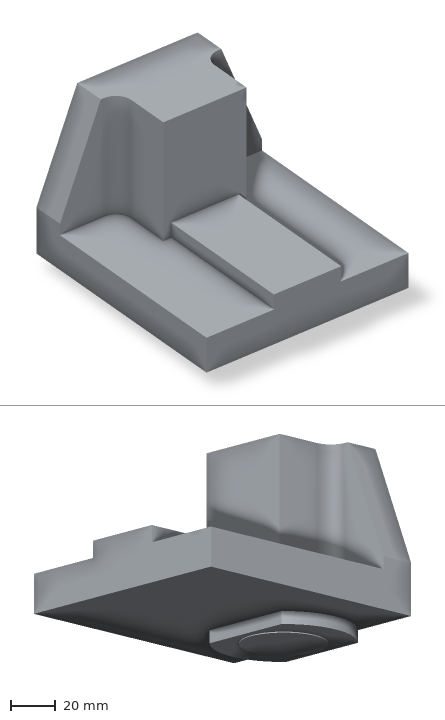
import cadquery as cq

base_length = 124.0
base_width = 114.0
base_thickness = 18.5

rail_width = 38.0
rail_top = 26.5

wall_thickness = 17.2
wall_height = 81.5
wall_top_width = 68.0
wall_shoulder_height = 24.5

column_front = 49.2
column_width = 47.0
column_fillet = 8.7

pad_diameter = 66.2
pad_across_flats = 47.2
pad_thickness = 6.0
pad_center_x = 24.1

boss_diameter = 40.01
boss_thickness = 0.5


def block_on_base(length, width, height):
    """Block from the back face forward, centred on Y and standing on Z = 0."""
    return cq.Workplane("XY").box(length, width, height, centered=(False, True, False))


def make_wall():
    """Back wall with vertical lower sides and sloping shoulders."""
    half_width = base_width / 2
    half_top = wall_top_width / 2
    outline = [
        (-half_width, 0),
        (half_width, 0),
        (half_width, wall_shoulder_height),
        (half_top, wall_height),
        (-half_top, wall_height),
        (-half_width, wall_shoulder_height),
    ]
    return cq.Workplane("YZ").polyline(outline).close().extrude(wall_thickness)


def make_column():
    """Column whose sides flare tangentially into the front of the wall."""
    half_width = column_width / 2
    flare_half_width = half_width + column_fillet
    flare_end = wall_thickness + column_fillet
    return (
        cq.Workplane("XY")
        .moveTo(0, -flare_half_width)
        .lineTo(wall_thickness, -flare_half_width)
        .radiusArc((flare_end, -half_width), column_fillet)
        .lineTo(column_front, -half_width)
        .lineTo(column_front, half_width)
        .lineTo(flare_end, half_width)
        .radiusArc((wall_thickness, flare_half_width), column_fillet)
        .lineTo(0, flare_half_width)
        .close()
        .extrude(wall_height)
    )


def make_pad():
    """Flatted disc and round boss hanging below the base."""
    flats = cq.Workplane("XY").box(
        pad_across_flats, pad_diameter, pad_thickness, centered=(True, True, False)
    )
    disc = cq.Workplane("XY").circle(pad_diameter / 2).extrude(pad_thickness)
    boss = cq.Workplane("XY").circle(boss_diameter / 2).extrude(-boss_thickness)
    pad = disc.intersect(flats).union(boss)
    return pad.translate((pad_center_x, 0, -pad_thickness))


base = block_on_base(base_length, base_width, base_thickness)
rail = block_on_base(base_length, rail_width, rail_top)
result = base.union(rail).union(make_wall()).union(make_column()).union(make_pad())